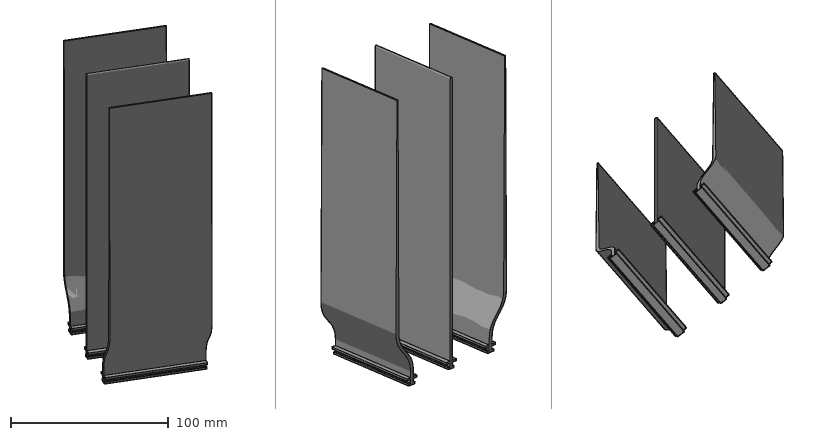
import cadquery as cq

height = 203.8
depth = 68.0
overall_width = 98.5

flange_width = 9.0
lip_thickness = 1.5
flange_bottom = 4.0

middle_thickness = 2.0
middle_foot_width = 4.9

outer_spacing = 70.1
outer_thickness = 2.6
outer_foot_width = 5.5
outer_tip_thickness = 1.0
outer_height = 203.4
bend_bottom = 9.8
bend_top = 40.0
bend_middle_z = (bend_bottom + bend_top) / 2
foot_x = outer_spacing / 2
blade_x = (overall_width - outer_thickness) / 2


def bar(center_x, width, bottom):
    """Thin horizontal strip running the full depth."""
    return (
        cq.Workplane("XY", origin=(center_x, 0, bottom))
        .box(width, depth, lip_thickness, centered=(True, True, False))
    )


def add_foot(panel, center_x, foot_width):
    """Join the bottom foot and the wider flange above it to a panel."""
    return (
        panel.union(bar(center_x, foot_width, 0))
        .union(bar(center_x, flange_width, flange_bottom))
    )


def make_middle_panel():
    """Flat upright panel with a fully rounded top edge."""
    half = middle_thickness / 2
    panel = (
        cq.Workplane("XZ", origin=(0, depth / 2, 0))
        .moveTo(-half, 0)
        .lineTo(half, 0)
        .lineTo(half, height - half)
        .threePointArc((0, height), (-half, height - half))
        .close()
        .extrude(depth)
    )
    return add_foot(panel, 0, middle_foot_width)


def make_outer_panel(side):
    """Panel with a smooth S-bend and a tapering blade; side is -1 or 1."""
    half = outer_thickness / 2
    tip_half = outer_tip_thickness / 2
    panel = (
        cq.Workplane("XZ", origin=(0, depth / 2, 0))
        .moveTo(side * (foot_x + half), 0)
        .lineTo(side * (foot_x + half), bend_bottom)
        .bezier([
            (side * (foot_x + half), bend_middle_z),
            (side * (blade_x + half), bend_middle_z),
            (side * (blade_x + half), bend_top),
        ], includeCurrent=True)
        .lineTo(side * (blade_x + tip_half), outer_height)
        .lineTo(side * (blade_x - tip_half), outer_height)
        .lineTo(side * (blade_x - half), bend_top)
        .bezier([
            (side * (blade_x - half), bend_middle_z),
            (side * (foot_x - half), bend_middle_z),
            (side * (foot_x - half), bend_bottom),
        ], includeCurrent=True)
        .lineTo(side * (foot_x - half), 0)
        .close()
        .extrude(depth)
    )
    return add_foot(panel, side * foot_x, outer_foot_width)


middle_panel = make_middle_panel()
outer_panels = [make_outer_panel(side) for side in (-1, 1)]

result = cq.Compound.makeCompound(
    [middle_panel.val(), *[panel.val() for panel in outer_panels]]
)